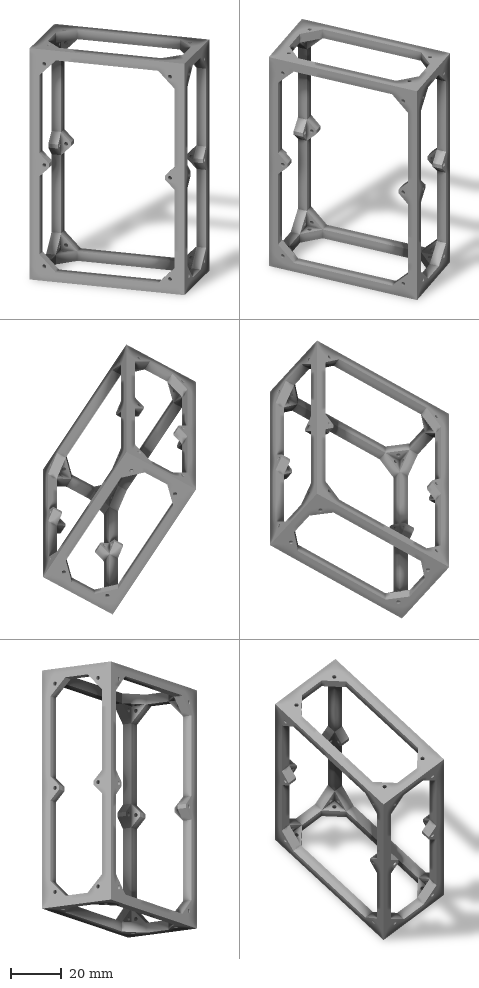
import cadquery as cq
import math

height = 96.0
bar = height / 24
width = 16 * bar
depth = 8 * bar

hole_diameter = 1.6
hole_offset = bar / 2
hole_margin = bar / 2
hole_inset = bar + hole_offset

gusset_leg = 2 * hole_offset + hole_margin * math.sqrt(2)

tab_reach = hole_offset + hole_margin
tab_tip_half = hole_margin * math.tan(math.radians(22.5))
tab_root_half = tab_tip_half + tab_reach

SIDES = (-1, 1)


def window(plane, normal, across, along, through):
    """Prism through two opposite faces, chamfered so that it leaves the corner gussets."""
    opening = cq.Workplane(plane).rect(across - 2 * bar, along - 2 * bar)
    prism = opening.extrude(through / 2, both=True)
    return prism.edges("|" + normal).chamfer(gusset_leg)


def tab_pair(plane, across, through):
    """Two tapered prisms at mid height, pointing inwards from the uprights."""
    root = across / 2 - bar
    tip = root - tab_reach
    outlines = cq.Workplane(plane)
    for side in SIDES:
        outline = [
            (side * root, -tab_root_half),
            (side * tip, -tab_tip_half),
            (side * tip, tab_tip_half),
            (side * root, tab_root_half),
        ]
        outlines = outlines.polyline(outline).close()
    return outlines.extrude(through / 2, both=True)


def hole_drills(plane, across, through, rows):
    """Drills through two opposite faces, in a column near each side at the given rows."""
    column = across / 2 - hole_inset
    points = [(side * column, row) for side in SIDES for row in rows]
    circles = cq.Workplane(plane).pushPoints(points).circle(hole_diameter / 2)
    return circles.extrude(through / 2, both=True)


core = cq.Workplane("XY").box(width - 2 * bar, depth - 2 * bar, height - 2 * bar)
frame = cq.Workplane("XY").box(width, depth, height).cut(core)

front_window = window("XZ", "Y", width, height, depth).cut(tab_pair("XZ", width, depth))
side_window = window("YZ", "X", depth, height, width).cut(tab_pair("YZ", depth, width))
lid_window = window("XY", "Z", width, depth, height)
frame = frame.cut(front_window).cut(side_window).cut(lid_window)

upright_end_row = height / 2 - hole_inset
upright_rows = (-upright_end_row, 0, upright_end_row)
lid_end_row = depth / 2 - hole_inset
lid_rows = (-lid_end_row, lid_end_row)

front_holes = hole_drills("XZ", width, depth, upright_rows)
side_holes = hole_drills("YZ", depth, width, upright_rows)
lid_holes = hole_drills("XY", width, height, lid_rows)

result = frame.cut(front_holes).cut(side_holes).cut(lid_holes)